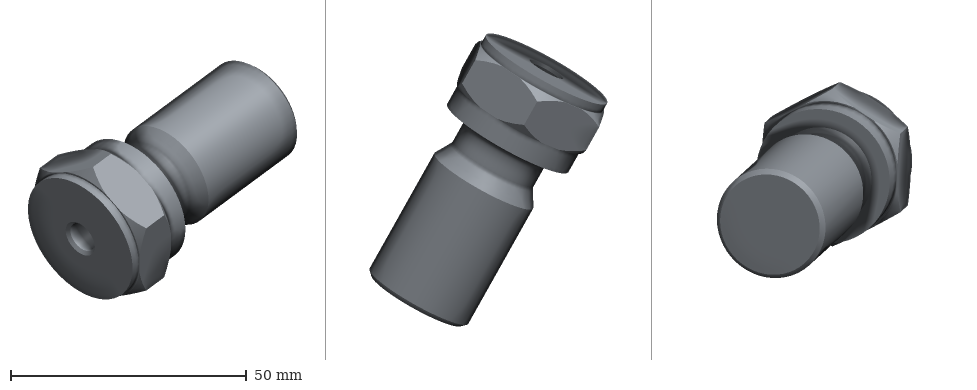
import cadquery as cq
import math

hex_start = 2.0
hex_end = 12.0
collar_end = 17.0
shank_start = 27.55
total_length = 57.0

hex_sides = 6
hex_across_flats = 30.0
hex_across_corners = hex_across_flats / math.cos(math.pi / hex_sides)
head_radius = 29.5 / 2
hex_chamfer_face_radius = 15.2
hex_chamfer_angle = 45.0

shank_radius = 24.0 / 2
shank_end_chamfer = 1.0

neck_radius = 19.6 / 2
undercut_fillet = 1.5
collar_flare_angle = 45.0
collar_flare_cone_length = 0.5
shank_taper_angle = 30.0

hole_radius = 6.8 / 2
hole_depth = 20.0
drill_point_angle = 118.0
countersink_radius = 8.2 / 2
countersink_angle = 90.0


def revolve_about_axis(profile):
    """Revolve an XY profile (radius along X) a full turn about the Y axis."""
    return profile.close().revolve(360, (0, 0, 0), (0, 1, 0))


def fillet_rise(angle):
    """Radius gained by an undercut fillet that turns through an angle."""
    return undercut_fillet * (1 - math.cos(math.radians(angle)))


def fillet_run(angle):
    """Axial length of an undercut fillet that turns through an angle."""
    return undercut_fillet * math.sin(math.radians(angle))


def make_turned_body():
    """Head cylinder, collar, relieved neck and shank as one revolved profile."""
    flare_fillet_radius = neck_radius + fillet_rise(collar_flare_angle)
    flare_fillet_y = collar_end + collar_flare_cone_length
    cone_rise = collar_flare_cone_length * math.tan(math.radians(collar_flare_angle))
    flare_radius = flare_fillet_radius + cone_rise
    neck_start = flare_fillet_y + fillet_run(collar_flare_angle)
    half_flare = collar_flare_angle / 2
    flare_mid = (
        neck_radius + fillet_rise(half_flare),
        neck_start - fillet_run(half_flare),
    )

    taper_fillet_radius = neck_radius + fillet_rise(shank_taper_angle)
    taper_length = (shank_radius - taper_fillet_radius) / math.tan(math.radians(shank_taper_angle))
    taper_fillet_y = shank_start - taper_length
    neck_end = taper_fillet_y - fillet_run(shank_taper_angle)
    half_taper = shank_taper_angle / 2
    taper_mid = (
        neck_radius + fillet_rise(half_taper),
        neck_end + fillet_run(half_taper),
    )

    profile = (
        cq.Workplane("XY")
        .moveTo(0, 0)
        .lineTo(head_radius, 0)
        .lineTo(head_radius, collar_end)
        .lineTo(flare_radius, collar_end)
        .lineTo(flare_fillet_radius, flare_fillet_y)
        .threePointArc(flare_mid, (neck_radius, neck_start))
        .lineTo(neck_radius, neck_end)
        .threePointArc(taper_mid, (taper_fillet_radius, taper_fillet_y))
        .lineTo(shank_radius, shank_start)
        .lineTo(shank_radius, total_length - shank_end_chamfer)
        .lineTo(shank_radius - shank_end_chamfer, total_length)
        .lineTo(0, total_length)
    )
    return revolve_about_axis(profile)


def make_hexagon():
    """Hexagon with corners on +Z and -Z, its corners chamfered at both ends."""
    prism = (
        cq.Workplane("XZ", origin=(0, hex_start, 0))
        .transformed(rotate=(0, 0, 90))
        .polygon(hex_sides, hex_across_corners)
        .extrude(-(hex_end - hex_start))
    )
    mid_y = (hex_start + hex_end) / 2
    cone_rise = (mid_y - hex_start) / math.tan(math.radians(hex_chamfer_angle))
    double_cone = revolve_about_axis(
        cq.Workplane("XY")
        .moveTo(0, hex_start)
        .lineTo(hex_chamfer_face_radius, hex_start)
        .lineTo(hex_chamfer_face_radius + cone_rise, mid_y)
        .lineTo(hex_chamfer_face_radius, hex_end)
        .lineTo(0, hex_end)
    )
    return prism.intersect(double_cone)


def make_hole():
    """Cutter for the blind hole: countersink, bore and drill point."""
    countersink_depth = (countersink_radius - hole_radius) / math.tan(math.radians(countersink_angle / 2))
    point_length = hole_radius / math.tan(math.radians(drill_point_angle / 2))
    return revolve_about_axis(
        cq.Workplane("XY")
        .moveTo(0, 0)
        .lineTo(countersink_radius, 0)
        .lineTo(hole_radius, countersink_depth)
        .lineTo(hole_radius, hole_depth)
        .lineTo(0, hole_depth + point_length)
    )


result = make_turned_body().union(make_hexagon()).cut(make_hole())